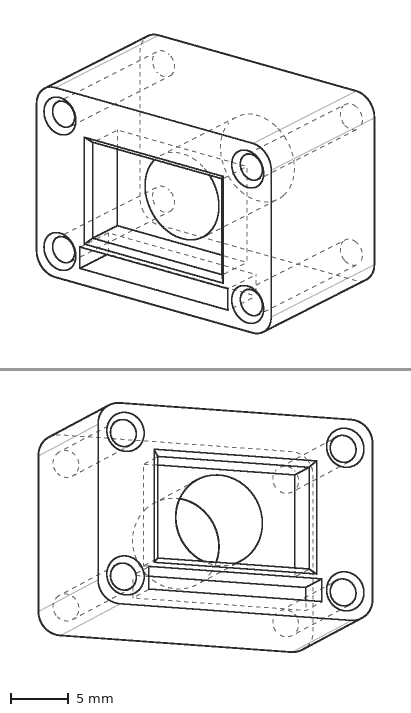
import cadquery as cq

width = 25.4
depth = 15.0
height = 17.78
corner_radius = 2.0

bore_diameter = 8.0
screw_spacing_x = 20.32
screw_spacing_z = 12.7
screw_diameter = 2.4
countersink_diameter = 3.45
countersink_angle = 90.0

mouth_width = 15.0
mouth_height = 10.0
bevel = 0.5
pocket_depth = 4.1

slot_width = 16.0
slot_height = 2.0
slot_depth = pocket_depth
slot_center_z = -6.4

front_y = -depth / 2


def make_block():
    block = cq.Workplane("XZ").rect(width, height).extrude(depth / 2, both=True)
    return block.edges("|Y").fillet(corner_radius)


def front_recess(recess_width, recess_height, recess_depth, center_z=0.0):
    """Rectangular cutter reaching inward from the front face."""
    return cq.Workplane("XY").box(recess_width, recess_depth, recess_height).translate(
        (0, front_y + recess_depth / 2, center_z)
    )


def make_pocket():
    inner_width = mouth_width - 2 * bevel
    inner_height = mouth_height - 2 * bevel
    mouth = (
        cq.Workplane("XZ", origin=(0, front_y + bevel, 0))
        .rect(inner_width, inner_height)
        .workplane(offset=bevel)
        .rect(mouth_width, mouth_height)
        .loft(ruled=True)
    )
    return front_recess(inner_width, inner_height, pocket_depth).union(mouth)


def cut_screw_holes(body):
    return (
        body.faces("<Y")
        .workplane(origin=(0, front_y, 0))
        .rect(screw_spacing_x, screw_spacing_z, forConstruction=True)
        .vertices()
        .cskHole(screw_diameter, countersink_diameter, countersink_angle)
    )


bore = cq.Workplane("XZ").circle(bore_diameter / 2).extrude(depth, both=True)
slot = front_recess(slot_width, slot_height, slot_depth, slot_center_z)

result = cut_screw_holes(make_block()).cut(make_pocket()).cut(slot).cut(bore)